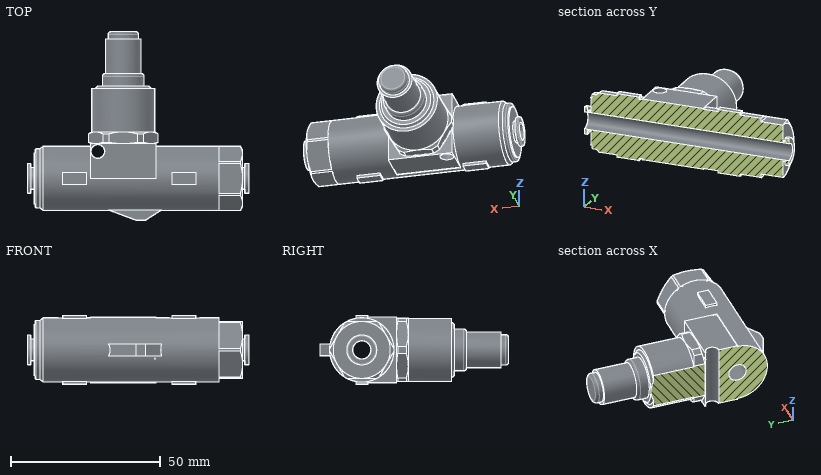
import cadquery as cq
import math


tube_radius = 10.75
tube_start = -26.7
tube_end = 32.0
bore_radius = 3.0

rim_radius = 9.9
shoulder_cone_length = 1.1
rim_shoulder = tube_start - shoulder_cone_length
rim_start = -29.4
rim_round = 0.5
face_disc_radius = 8.55
face_disc_height = 0.4
face_disc_start = rim_start - face_disc_height

collar_radius = 5.0
collar_neck_radius = 3.65
collar_round = 0.3
inlet_collar_start = -32.0
inlet_collar_width = 1.2
outlet_collar_end = 42.0
outlet_collar_width = 1.5

end_hex_flats = 19.0
end_hex_end = 39.8
end_hex_chamfer_length = 0.72
end_hex_chamfer_depth = tube_radius - end_hex_flats / 2

block_width = 22.0
block_top = 11.6
mount_hole_radius = 2.25
mount_hole_x = -8.5
mount_hole_y = 9.0

pad_length = 8.0
pad_width = 4.0
pad_face_z = 11.5
pad_centers_x = (-16.25, 20.25)

rib_thickness = 4.0
rib_tip_y = -14.0
rib_tip_start = 4.25
rib_tip_end = 7.4
rib_foot_start = -4.4
rib_foot_end = 12.5
rib_root_y = -10.0

stub_hex_flats = 21.2
stub_hex_corner_radius = 11.63
stub_hex_top = 15.55
hex_top_chamfer_length = 0.7
hex_bottom_chamfer_length = 0.4
sleeve_radius = 10.55
sleeve_end = 30.0
cap_base_radius = 9.35
cap_top_radius = 8.5
cap_end = 30.9
step_round = 1.0
spigot_radius = 6.0
collar_step_radius = spigot_radius + step_round
collar_step_end = 35.0
spigot_end = 46.5
tip_radius = 5.1
tip_end = 49.0


def hexagon_corner_diameter(flats):
    """Diameter across the corners of a hexagon with the given width across flats."""
    return flats / math.cos(math.pi / 6)


def cylinder_x(radius, start, end):
    """Cylinder on the tube axis between two X positions."""
    return cq.Workplane("YZ", origin=(start, 0, 0)).circle(radius).extrude(end - start)


def release_collar(start, end):
    """Flange of a release collar with both of its rims rounded."""
    return cylinder_x(collar_radius, start, end).edges().fillet(collar_round)


def tube_shell():
    """Turned tube with its stepped inlet end and both release collars, still without the bore."""
    inlet_collar_end = inlet_collar_start + inlet_collar_width
    outlet_collar_start = outlet_collar_end - outlet_collar_width
    turned = (
        cq.Workplane("XY")
        .moveTo(face_disc_start, 0)
        .lineTo(face_disc_start, face_disc_radius)
        .lineTo(rim_start, face_disc_radius)
        .lineTo(rim_start, rim_radius - rim_round)
        .radiusArc((rim_start + rim_round, rim_radius), rim_round)
        .lineTo(rim_shoulder, rim_radius)
        .lineTo(tube_start, tube_radius)
        .lineTo(tube_end, tube_radius)
        .lineTo(tube_end, 0)
        .close()
        .revolve(360, (0, 0, 0), (1, 0, 0))
    )
    neck = cylinder_x(collar_neck_radius, inlet_collar_end, outlet_collar_start)
    inlet_collar = release_collar(inlet_collar_start, inlet_collar_end)
    outlet_collar = release_collar(outlet_collar_start, outlet_collar_end)
    return turned.union(neck).union(inlet_collar).union(outlet_collar)


def end_hexagon():
    """Hexagon on the outlet end, trimmed by a turned and chamfered blank."""
    prism = (
        cq.Workplane("YZ", origin=(tube_end, 0, 0))
        .polygon(6, hexagon_corner_diameter(end_hex_flats))
        .extrude(end_hex_end - tube_end)
    )
    blank = (
        cylinder_x(tube_radius, tube_end, end_hex_end)
        .faces(">X")
        .chamfer(end_hex_chamfer_length, end_hex_chamfer_depth)
    )
    return prism.intersect(blank)


def stub_block():
    """Square block from the tube axis out to the seat of the stub."""
    return cq.Workplane("XY").box(block_width, block_top, block_width, centered=(True, False, True))


def mount_hole():
    """Cutter for the mounting hole through one corner of the block."""
    return (
        cq.Workplane("XY", origin=(0, 0, -block_width / 2))
        .center(mount_hole_x, mount_hole_y)
        .circle(mount_hole_radius)
        .extrude(block_width)
    )


def pad(center_x):
    """Bar through the tube whose two ends stand out as the top and bottom pads."""
    return cq.Workplane("XY").box(pad_length, pad_width, 2 * pad_face_z).translate((center_x, 0, 0))


def extend_flank(tip_x, foot_x):
    """Point on a rib flank, carried past the tube surface to the depth of the rib root."""
    run_per_rise = (foot_x - tip_x) / (-tube_radius - rib_tip_y)
    return (tip_x + run_per_rise * (rib_root_y - rib_tip_y), rib_root_y)


def rib():
    """Pointed rib, its flanks starting at the tube surface and its root buried in the tube."""
    return (
        cq.Workplane("XY", origin=(0, 0, -rib_thickness / 2))
        .polyline(
            [
                extend_flank(rib_tip_start, rib_foot_start),
                (rib_tip_start, rib_tip_y),
                (rib_tip_end, rib_tip_y),
                extend_flank(rib_tip_end, rib_foot_end),
            ]
        )
        .close()
        .extrude(rib_thickness)
    )


def make_valve_body():
    """Tube, end hexagon, block, pads and rib as one body."""
    body = tube_shell().union(end_hexagon()).union(stub_block()).union(rib())
    for center_x in pad_centers_x:
        body = body.union(pad(center_x))
    bore = cylinder_x(bore_radius, inlet_collar_start, outlet_collar_end)
    return body.cut(bore).cut(mount_hole())


def stub_hexagon():
    """Hexagon at the foot of the stub, trimmed by a blank chamfered at both ends."""
    height = stub_hex_top - block_top
    prism = (
        cq.Workplane("XZ", origin=(0, stub_hex_top, 0))
        .polygon(6, hexagon_corner_diameter(stub_hex_flats))
        .extrude(height)
    )
    blank = (
        cq.Workplane("XY")
        .moveTo(0, block_top)
        .lineTo(sleeve_radius, block_top)
        .lineTo(stub_hex_corner_radius, block_top + hex_bottom_chamfer_length)
        .lineTo(stub_hex_corner_radius, stub_hex_top - hex_top_chamfer_length)
        .lineTo(sleeve_radius, stub_hex_top)
        .lineTo(0, stub_hex_top)
        .close()
        .revolve(360, (0, 0, 0), (0, 1, 0))
    )
    return prism.intersect(blank)


def make_outlet_stub():
    """Turned stub with its foot hexagon, seated on the block."""
    turned = (
        cq.Workplane("XY")
        .moveTo(0, block_top)
        .lineTo(sleeve_radius, block_top)
        .lineTo(sleeve_radius, sleeve_end)
        .lineTo(cap_base_radius, sleeve_end)
        .lineTo(cap_top_radius, cap_end)
        .lineTo(collar_step_radius, cap_end)
        .lineTo(collar_step_radius, collar_step_end - step_round)
        .radiusArc((collar_step_radius - step_round, collar_step_end), -step_round)
        .lineTo(spigot_radius, spigot_end)
        .lineTo(tip_radius, spigot_end)
        .lineTo(tip_radius, tip_end - step_round)
        .radiusArc((tip_radius - step_round, tip_end), -step_round)
        .lineTo(0, tip_end)
        .close()
        .revolve(360, (0, 0, 0), (0, 1, 0))
    )
    return turned.union(stub_hexagon())


valve_body = make_valve_body()
outlet_stub = make_outlet_stub()

result = cq.Compound.makeCompound([valve_body.val(), outlet_stub.val()])